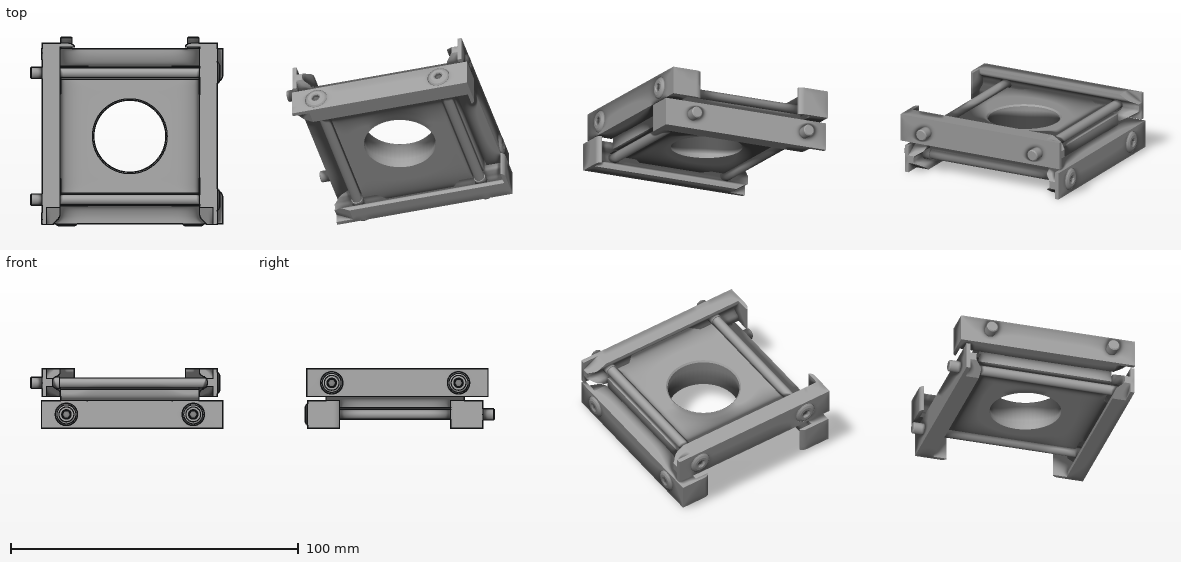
import cadquery as cq
import math


SLOPE = math.tan(math.radians(30))
COS_30 = math.cos(math.radians(30))

JAW_HEIGHT = 9.7
JAW_GAP = 1.4
JAW_INNER = 24.25
JAW_OUTER = 30.45
OPEN_END = -30.7
HOOK_END = 32.3
JAW_Z = (JAW_GAP + JAW_HEIGHT) / 2

GROOVE_DEPTH = 2.7
GROOVE_WALL = 2.7
GROOVE_ROUND = 1.35
GROOVE_MOUTH = GROOVE_WALL + 2 * GROOVE_DEPTH * SLOPE

RAMP_LENGTH = 6
RAMP_DROP = RAMP_LENGTH * SLOPE
FLANGE = 1.5

HOOK_THICKNESS = 1.35
HOOK_TIP = 19.3
HOOK_TIP_THICKNESS = 0.4
HOOK_ROUND_LENGTH = 2

SCREW_Z = 5.5
SCREW_OFFSET = 22.05
SHANK_DIAMETER = 3.4
THREAD_DIAMETER = 4
THREAD_START = -24.45
THREAD_END = -34.5
TIP_CHAMFER = 0.35
HEAD_TOP = 31.25
HEAD_DEPTH = 1.4
HEAD_DIAMETER = 7.6
HEAD_RECESS_DIAMETER = 7.8
HEAD_RIM = 30.9
HEAD_RIM_DIAMETER = 6.6
HEAD_FLAT_DIAMETER = 5.15
SOCKET_ACROSS_FLATS = 2.5
SOCKET_DEPTH = 1.35
SOCKET_MOUTH_DIAMETER = 3.3
SOCKET_MOUTH_DEPTH = 0.35
CLEARANCE_DIAMETER = 4.5
NUT_ACROSS_FLATS = 7.5
NUT_THICKNESS = 3.2

PLATE_HALF_WIDTH = 24.05
PLATE_TOP = 5.55
BORE_DIAMETER = 25.0
BORE_CHAMFER = 0.55
NOTCH_DIAMETER = 4.6
TONGUE_LENGTH = 29.8


def to_lower(shape):
    """Carry a shape of the upper pair to the lower pair: Y becomes X, X becomes -Y, Z becomes -Z."""
    return shape.mirror("XY").rotate((0, 0, 0), (0, 0, 1), -90)


def groove():
    """The groove of the +X upper jaw, from its open end to its hook."""
    mouth = GROOVE_MOUTH / 2
    wall = GROOVE_WALL / 2
    length = HOOK_END - HOOK_THICKNESS - OPEN_END
    return (
        cq.Workplane("XZ", origin=(JAW_INNER, OPEN_END, JAW_Z))
        .moveTo(0, mouth)
        .lineTo(GROOVE_DEPTH, wall)
        .lineTo(GROOVE_DEPTH, -wall)
        .lineTo(0, -mouth)
        .close()
        .extrude(-length)
    )


def ramps():
    """The two wedges that taper the open end of a jaw, above and below its web."""
    half = JAW_HEIGHT / 2
    wedge = (
        cq.Workplane("YZ", origin=(JAW_INNER, OPEN_END, JAW_Z))
        .moveTo(RAMP_LENGTH, half)
        .lineTo(0, half - RAMP_DROP)
        .lineTo(0, half)
        .close()
        .extrude(JAW_OUTER - FLANGE - JAW_INNER)
    )
    return wedge.union(wedge.mirror("XY", (0, 0, JAW_Z)))


def jaw():
    """The upper jaw on the +X side, without its screw holes."""
    hook_inner = HOOK_END - HOOK_THICKNESS
    body = (
        cq.Workplane("XY", origin=(0, 0, JAW_Z - JAW_HEIGHT / 2))
        .moveTo(JAW_INNER, OPEN_END)
        .lineTo(JAW_OUTER, OPEN_END)
        .lineTo(JAW_OUTER, HOOK_END)
        .lineTo(HOOK_TIP + HOOK_ROUND_LENGTH, HOOK_END)
        .tangentArcPoint((HOOK_TIP, hook_inner + HOOK_TIP_THICKNESS), relative=False)
        .lineTo(HOOK_TIP, hook_inner)
        .lineTo(JAW_INNER, hook_inner)
        .close()
        .extrude(JAW_HEIGHT)
    )
    body = body.cut(groove())
    margin = 0.1
    groove_zone = cq.selectors.BoxSelector(
        (JAW_INNER - margin, OPEN_END, JAW_Z - GROOVE_MOUTH / 2 - margin),
        (JAW_INNER + GROOVE_DEPTH + margin, hook_inner, JAW_Z + GROOVE_MOUTH / 2 + margin),
    )
    body = body.edges("|Y").edges(groove_zone).fillet(GROOVE_ROUND)
    return body.cut(ramps())


def screw_holes():
    """Clearance hole, head recess and nut pocket of both upper screws."""
    holes = cq.Workplane("XY")
    for side in (-1, 1):
        end = cq.Workplane("YZ", origin=(-JAW_OUTER, side * SCREW_OFFSET, SCREW_Z))
        clearance = end.circle(CLEARANCE_DIAMETER / 2).extrude(2 * JAW_OUTER)
        recess = (
            end.workplane(offset=2 * JAW_OUTER - HEAD_DEPTH)
            .circle(HEAD_RECESS_DIAMETER / 2)
            .extrude(HEAD_DEPTH)
        )
        holes = holes.union(clearance).union(recess).union(nut(side))
    return holes


def nut(side):
    """The nut on an upper screw, flush with the outer face of the -X jaw."""
    return (
        cq.Workplane("YZ", origin=(-JAW_OUTER, side * SCREW_OFFSET, SCREW_Z))
        .polygon(6, NUT_ACROSS_FLATS / COS_30)
        .extrude(NUT_THICKNESS)
    )


def fastener(side):
    """An upper screw along X together with the nut on its thread."""
    seat = JAW_OUTER - HEAD_DEPTH
    tip_radius = THREAD_DIAMETER / 2 - TIP_CHAMFER
    screw = (
        cq.Workplane("XY", origin=(0, side * SCREW_OFFSET, SCREW_Z))
        .moveTo(THREAD_END, 0)
        .lineTo(THREAD_END, tip_radius)
        .lineTo(THREAD_END + TIP_CHAMFER, THREAD_DIAMETER / 2)
        .lineTo(THREAD_START, THREAD_DIAMETER / 2)
        .lineTo(THREAD_START, SHANK_DIAMETER / 2)
        .lineTo(seat, SHANK_DIAMETER / 2)
        .lineTo(seat, HEAD_DIAMETER / 2)
        .lineTo(JAW_OUTER, HEAD_DIAMETER / 2)
        .lineTo(HEAD_RIM, HEAD_RIM_DIAMETER / 2)
        .lineTo(HEAD_TOP, HEAD_FLAT_DIAMETER / 2)
        .lineTo(HEAD_TOP, 0)
        .close()
        .revolve(360, (0, 0, 0), (1, 0, 0))
    )
    return screw.union(nut(side)).cut(socket(side))


def socket(side):
    """Hexagon socket with a conical mouth."""
    top = cq.Workplane("YZ", origin=(HEAD_TOP, side * SCREW_OFFSET, SCREW_Z))
    hexagon = top.polygon(6, SOCKET_ACROSS_FLATS / COS_30).extrude(-SOCKET_DEPTH)
    mouth = top.circle(SOCKET_MOUTH_DIAMETER / 2).extrude(-SOCKET_MOUTH_DEPTH, taper=45)
    return hexagon.union(mouth)


def screw_notches():
    """Notches along the two upper plate edges: round under the screw and open outwards."""
    radius = NOTCH_DIAMETER / 2
    notch = (
        cq.Workplane("YZ", origin=(-PLATE_HALF_WIDTH, SCREW_OFFSET, SCREW_Z))
        .moveTo(-radius, 0)
        .threePointArc((-radius * math.sqrt(0.5), -radius * math.sqrt(0.5)), (0, -radius))
        .lineTo(radius, -radius)
        .lineTo(radius, radius)
        .lineTo(-radius, radius)
        .close()
        .extrude(2 * PLATE_HALF_WIDTH)
    )
    return notch.union(notch.mirror("XZ"))


def tongue():
    """The key into the +X upper jaw: a trapezoid with 45 degree ends."""
    half = TONGUE_LENGTH / 2
    reach = JAW_INNER + GROOVE_DEPTH - PLATE_HALF_WIDTH
    bottom = JAW_GAP / 2
    return (
        cq.Workplane("XY", origin=(PLATE_HALF_WIDTH, 0, bottom))
        .moveTo(0, -half)
        .lineTo(reach, -half + reach)
        .lineTo(reach, half - reach)
        .lineTo(0, half)
        .close()
        .extrude(PLATE_TOP - bottom)
    )


def bore():
    """The central hole with a chamfer at the plate top."""
    hole = cq.Workplane("XY", origin=(0, 0, -PLATE_TOP)).circle(BORE_DIAMETER / 2).extrude(2 * PLATE_TOP)
    chamfer = (
        cq.Workplane("XY", origin=(0, 0, PLATE_TOP))
        .circle(BORE_DIAMETER / 2 + BORE_CHAMFER)
        .extrude(-BORE_CHAMFER, taper=45)
    )
    return hole.union(chamfer)


def frame():
    """Plate and jaws in one piece."""
    jaws = jaw().union(tongue())
    jaws = jaws.union(jaws.mirror("YZ")).cut(screw_holes())
    notches = screw_notches()
    plate = (
        cq.Workplane("XY")
        .box(2 * PLATE_HALF_WIDTH, 2 * PLATE_HALF_WIDTH, 2 * PLATE_TOP)
        .cut(notches)
        .cut(to_lower(notches))
    )
    return plate.union(jaws).union(to_lower(jaws)).cut(bore())


upper_fasteners = [fastener(side) for side in (-1, 1)]
lower_fasteners = [to_lower(screw) for screw in upper_fasteners]
fasteners = upper_fasteners + lower_fasteners

result = cq.Compound.makeCompound([frame().val(), *[screw.val() for screw in fasteners]])